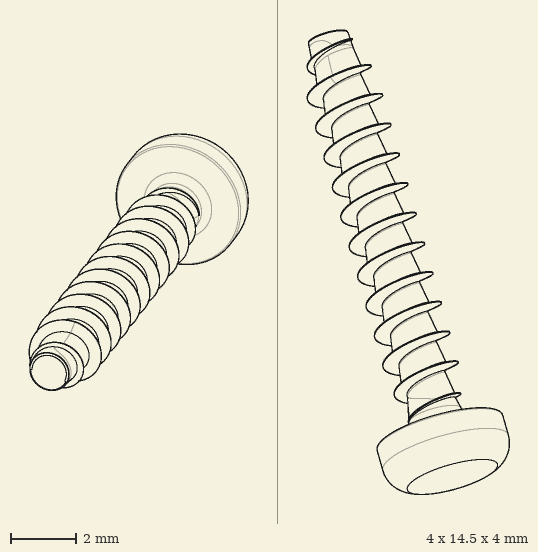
import math

import cadquery as cq

HEAD_RADIUS = 2.0
HEAD_HEIGHT = 1.5
HEAD_RIM_HEIGHT = 0.7
HEAD_DOME_RADIUS = 0.85
HEAD_EDGE_FILLET = 0.05

SHANK_LENGTH = 13.0
NECK_RADIUS = 0.835
NECK_FILLET = 0.25
NECK_LENGTH = 0.53
NECK_TAPER_END = 1.3
CORE_RADIUS = 0.66
TIP_RADIUS = 0.635
TIP_TAPER_LENGTH = 0.5
TIP_RIM_RADIUS = 0.595
TIP_BEVEL_LENGTH = 0.03
TIP_HOLLOW_DEPTH = 0.04

PITCH = 0.98
CREST_RADIUS = 1.13
CREST_WIDTH = 0.03
FLANK_TANGENT = math.tan(math.radians(15))
ROOT_RADIUS = 0.77
BURIED_RADIUS = 0.55
TURN_GAP = 0.01

TURN_ZERO_Y = -1.485
START_TURN = -1.0
FULL_TURN = 0.5
FADE_TURN = 10.2
END_TURN = 11.5
START_CREST_RADIUS = 0.85
END_CREST_RADIUS = 0.70
END_ROOT_RADIUS = 0.63
TAIL_RADIUS = 0.655
END_TAIL_RADIUS = 0.6
SAMPLES_PER_TURN = 16


def revolved(profile):
    """Revolve an XY profile about the Y axis."""
    return profile.close().revolve(360, (0, 0, 0), (0, 1, 0))


def make_head():
    dome_centre_x = HEAD_RADIUS - HEAD_DOME_RADIUS
    dome_angle = math.asin((HEAD_HEIGHT - HEAD_RIM_HEIGHT) / HEAD_DOME_RADIUS)

    def dome_point(angle):
        x = dome_centre_x + HEAD_DOME_RADIUS * math.cos(angle)
        y = HEAD_RIM_HEIGHT + HEAD_DOME_RADIUS * math.sin(angle)
        return (x, y)

    profile = (
        cq.Workplane("XY")
        .lineTo(HEAD_RADIUS, 0)
        .lineTo(HEAD_RADIUS, HEAD_RIM_HEIGHT)
        .threePointArc(dome_point(dome_angle / 2), dome_point(dome_angle))
        .lineTo(0, HEAD_HEIGHT)
    )
    return revolved(profile).faces("<Y").edges().fillet(HEAD_EDGE_FILLET)


def make_shank():
    fillet_centre_x = NECK_RADIUS + NECK_FILLET
    fillet_reach = NECK_FILLET * math.sqrt(0.5)
    profile = (
        cq.Workplane("XY")
        .lineTo(fillet_centre_x, 0)
        .threePointArc(
            (fillet_centre_x - fillet_reach, fillet_reach - NECK_FILLET),
            (NECK_RADIUS, -NECK_FILLET),
        )
        .lineTo(NECK_RADIUS, -NECK_LENGTH)
        .lineTo(CORE_RADIUS, -NECK_TAPER_END)
        .lineTo(CORE_RADIUS, -SHANK_LENGTH + TIP_TAPER_LENGTH)
        .lineTo(TIP_RADIUS, -SHANK_LENGTH + TIP_BEVEL_LENGTH)
        .lineTo(TIP_RIM_RADIUS, -SHANK_LENGTH)
        .lineTo(0, -SHANK_LENGTH + TIP_HOLLOW_DEPTH)
    )
    return revolved(profile)


def blend(turn, first_turn, last_turn, first_value, last_value):
    """Linear interpolation along the thread."""
    share = (turn - first_turn) / (last_turn - first_turn)
    return first_value + share * (last_value - first_value)


def thread_section(turn):
    """Corners (radius, offset towards the head) of the thread section at a given turn."""
    crest = CREST_RADIUS
    root = ROOT_RADIUS
    tail = TAIL_RADIUS
    if turn < FULL_TURN:
        crest = blend(turn, START_TURN, FULL_TURN, START_CREST_RADIUS, CREST_RADIUS)
    elif turn > FADE_TURN:
        crest = blend(turn, FADE_TURN, END_TURN, CREST_RADIUS, END_CREST_RADIUS)
        root = blend(turn, FADE_TURN, END_TURN, ROOT_RADIUS, END_ROOT_RADIUS)
        tail = blend(turn, FADE_TURN, END_TURN, TAIL_RADIUS, END_TAIL_RADIUS)

    half_crest = CREST_WIDTH / 2

    def flank_offset(radius, crest_radius):
        return half_crest + (crest_radius - radius) * FLANK_TANGENT

    next_turn_shift = PITCH - TURN_GAP
    return [
        (BURIED_RADIUS, flank_offset(BURIED_RADIUS, crest)),
        (crest, half_crest),
        (crest, -half_crest),
        (root, -flank_offset(root, crest)),
        (tail, flank_offset(tail, CREST_RADIUS) - next_turn_shift),
        (BURIED_RADIUS, flank_offset(BURIED_RADIUS, CREST_RADIUS) - next_turn_shift),
    ]


def section_point(turn, corner):
    radius, offset = thread_section(turn)[corner]
    angle = 2 * math.pi * turn
    y = TURN_ZERO_Y - PITCH * turn + offset
    return cq.Vector(radius * math.cos(angle), y, radius * math.sin(angle))


def thread_stretch_faces(first_turn, last_turn):
    """Ruled helical faces between neighbouring section corners."""
    steps = math.ceil((last_turn - first_turn) * SAMPLES_PER_TURN)
    turns = [blend(i, 0, steps, first_turn, last_turn) for i in range(steps + 1)]
    corner_count = len(thread_section(first_turn))
    helices = []
    for corner in range(corner_count):
        points = [section_point(turn, corner) for turn in turns]
        helices.append(cq.Edge.makeSpline(points, parameters=turns))
    return [
        cq.Face.makeRuledSurface(helices[i], helices[(i + 1) % corner_count])
        for i in range(corner_count)
    ]


def thread_end_face(turn):
    corner_count = len(thread_section(turn))
    corners = [section_point(turn, corner) for corner in range(corner_count)]
    return cq.Face.makeFromWires(cq.Wire.makePolygon(corners, close=True))


def make_thread():
    faces = [thread_end_face(START_TURN), thread_end_face(END_TURN)]
    breaks = [START_TURN, FULL_TURN, FADE_TURN, END_TURN]
    for first_turn, last_turn in zip(breaks, breaks[1:]):
        faces += thread_stretch_faces(first_turn, last_turn)
    thread = cq.Workplane(cq.Solid.makeSolid(cq.Shell.makeShell(faces)))
    shank_zone = cq.Workplane("XZ").circle(HEAD_RADIUS).extrude(SHANK_LENGTH)
    return thread.intersect(shank_zone)


result = make_head().union(make_shank()).union(make_thread())